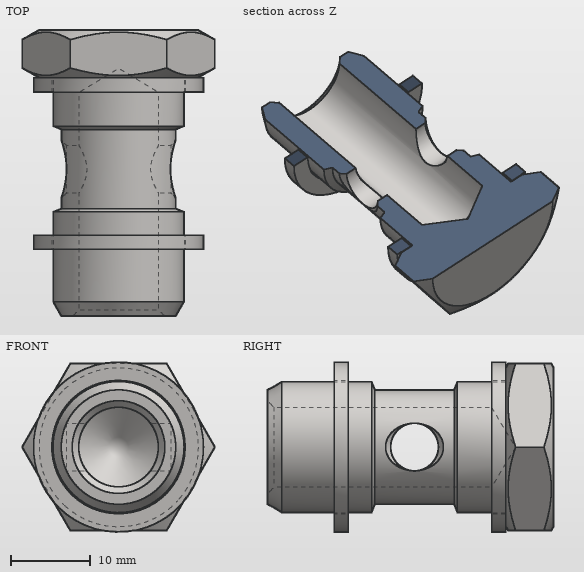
import cadquery as cq
import math

length = 36.0
head_across_corners = 24.25
head_thickness = 6.0
head_face_radius = 10.0
head_chamfer_angle = 30.0

shank_radius = 8.25
neck_radius = 7.2
neck_start = 12.53
neck_end = 22.45
shoulder_bevel = 0.45
tip_bevel_length = 1.85

bore_radius = 5.0
bore_mouth_radius = 5.85
drill_point_angle = 118.0

cross_hole_radius = 3.0
cross_hole_depth = (neck_start + neck_end) / 2

washer_outer_radius = 10.7
washer_inner_radius = 8.4
washer_thickness = 1.8
washer_starts = [head_thickness, 25.8]


def revolve_about_y(points):
    """Revolve a closed (radius, distance from head face) outline about the bolt axis."""
    outline = [(radius, -distance) for radius, distance in points]
    return cq.Workplane("XY").polyline(outline).close().revolve(360, (0, 0, 0), (0, 1, 0))


def make_head():
    """Hexagon with corners on the X axis and both faces turned to a cone."""
    hexagon = cq.Workplane("XZ").polygon(6, head_across_corners).extrude(head_thickness)
    corner_radius = head_across_corners / 2
    drop = (corner_radius - head_face_radius) * math.tan(math.radians(head_chamfer_angle))
    turned_envelope = revolve_about_y([
        (0, 0),
        (head_face_radius, 0),
        (corner_radius, drop),
        (corner_radius, head_thickness - drop),
        (head_face_radius, head_thickness),
        (0, head_thickness),
    ])
    return hexagon.intersect(turned_envelope)


def make_shank():
    """Stepped shank with a bevelled neck and a bevelled tip."""
    return revolve_about_y([
        (0, head_thickness),
        (shank_radius, head_thickness),
        (shank_radius, neck_start - shoulder_bevel),
        (neck_radius, neck_start),
        (neck_radius, neck_end),
        (shank_radius, neck_end + shoulder_bevel),
        (shank_radius, length - tip_bevel_length),
        (neck_radius, length),
        (0, length),
    ])


def make_bore():
    """Blind drilled bore with a 45 degree mouth; its full diameter ends level with the first washer."""
    full_bore_end = head_thickness + washer_thickness
    point_height = bore_radius / math.tan(math.radians(drill_point_angle / 2))
    mouth_depth = bore_mouth_radius - bore_radius
    return revolve_about_y([
        (0, length),
        (bore_mouth_radius, length),
        (bore_radius, length - mouth_depth),
        (bore_radius, full_bore_end),
        (0, full_bore_end - point_height),
    ])


def make_cross_hole():
    """Hole along X through the neck, with a 45 degree countersink at each end."""
    sink_start = math.sqrt(neck_radius**2 - cross_hole_radius**2)
    sink_end = shank_radius
    mouth_radius = cross_hole_radius + sink_end - sink_start
    outline = [
        (-sink_end, 0),
        (-sink_end, mouth_radius),
        (-sink_start, cross_hole_radius),
        (sink_start, cross_hole_radius),
        (sink_end, mouth_radius),
        (sink_end, 0),
    ]
    hole = cq.Workplane("XY").polyline(outline).close().revolve(360, (0, 0, 0), (1, 0, 0))
    return hole.translate((0, -cross_hole_depth, 0))


def make_bolt():
    return make_head().union(make_shank()).cut(make_bore()).cut(make_cross_hole())


def make_washer(start):
    """Flat sealing ring whose face nearest the head is at the given distance."""
    ring = cq.Workplane("XZ").circle(washer_outer_radius).circle(washer_inner_radius)
    return ring.extrude(washer_thickness).translate((0, -start, 0))


bolt = make_bolt()
washers = [make_washer(start) for start in washer_starts]

result = cq.Compound.makeCompound([bolt.solids().val(), *[washer.val() for washer in washers]])